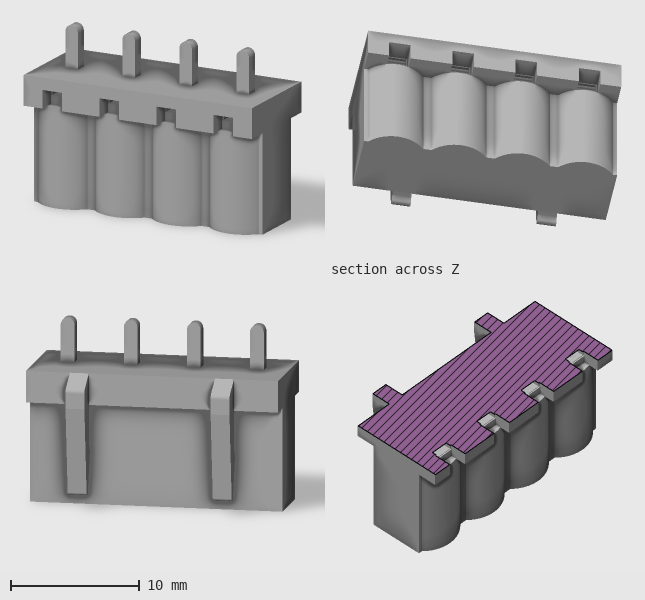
import cadquery as cq
import math


pole_count = 4
pitch = 5.0
length = pole_count * pitch
pole_centers = [(i + 0.5) * pitch for i in range(pole_count)]

flange_depth = 8.3
flange_height = 2.5

body_height = 8.2
body_front = 1.75
body_back_inset = 1.7
body_back = flange_depth - body_back_inset
rib_radius = 3.0
rib_half_width = 2.175
rib_front = body_front - (rib_radius - math.sqrt(rib_radius**2 - rib_half_width**2))

pin_width = 1.1
pin_thickness = 1.0
pin_height = 3.5
pin_center_y = 3.75

notch_width = 1.7
notch_top = -1.0
notch_depth = 1.4
recess_step = 0.1
recess_bottom = -1.8
recess_depth = notch_depth + recess_step
pocket_width = 1.5
pocket_margin = (notch_width - pocket_width) / 2
pocket_top = notch_top - pocket_margin
pocket_bottom = recess_bottom + pocket_margin / 2
pocket_lip_depth = 0.2
pocket_lip_height = 0.2
pocket_depth = 1.1

latch_width = 1.5
latch_end_inset = 3.5
latch_reach = 1.75
latch_shoulder_drop = 1.0
latch_shoulder_radius = 0.5
latch_wall_overlap = 0.05
latch_root_radius = 0.4
latch_root_length = 0.5
latch_tip_z = -9.5
latch_tip_outer = 0.87
latch_tip_inner = 0.43
latch_tip_radius = 0.2
hook_start_z = -5.65
hook_nose_z = -6.2
hook_overhang = 0.42
hook_nose_radius = 0.3


def box(x_center, width, y_min, y_max, z_min, z_max):
    """Axis-aligned block centred on x_center."""
    size = (width, y_max - y_min, z_max - z_min)
    corner = (x_center - width / 2, y_min, z_min)
    return cq.Workplane("XY").box(*size, centered=False).translate(corner)


def side_extrusion(points, x_center, width):
    """Closed (y, z) outline extruded along X and centred on x_center."""
    profile = cq.Workplane("YZ").polyline(points).close().extrude(width)
    return profile.translate((x_center - width / 2, 0, 0))


def make_body():
    """Body outline with a convex arc at each pole, extruded down from the flange."""
    outline = cq.Workplane("XY").workplane(offset=-flange_height).moveTo(0, body_back).lineTo(0, body_front)
    for x in pole_centers:
        outline = outline.lineTo(x - rib_half_width, body_front)
        outline = outline.threePointArc((x, rib_front), (x + rib_half_width, body_front))
    return outline.lineTo(length, body_front).lineTo(length, body_back).close().extrude(-body_height)


def make_pin(x):
    """Flat pin with a full-round top."""
    half_width = pin_width / 2
    shoulder_z = pin_height - half_width
    profile = (
        cq.Workplane("XZ")
        .moveTo(x - half_width, -flange_height)
        .lineTo(x - half_width, shoulder_z)
        .threePointArc((x, pin_height), (x + half_width, shoulder_z))
        .lineTo(x + half_width, -flange_height)
        .close()
    )
    return profile.extrude(pin_thickness).translate((0, pin_center_y + pin_thickness / 2, 0))


def make_notch(x):
    """Cutter for a flange notch, its recessed upper wall and the sloping pocket behind it."""
    notch = box(x, notch_width, 0, notch_depth, -flange_height, notch_top)
    recess = box(x, notch_width, 0, recess_depth, recess_bottom, notch_top)
    lip_y = recess_depth + pocket_lip_depth
    pocket = side_extrusion(
        [
            (notch_depth, pocket_top),
            (lip_y, pocket_top),
            (lip_y, pocket_top - pocket_lip_height),
            (recess_depth + pocket_depth, pocket_bottom),
            (notch_depth, pocket_bottom),
        ],
        x,
        pocket_width,
    )
    return notch.union(recess).union(pocket)


def round_edge(solid, y, z, radius):
    """Fillet the X-direction edge nearest to (y, z)."""
    x = solid.val().Center().x
    return solid.edges("|X").edges(cq.selectors.NearestToPointSelector((x, y, z))).fillet(radius)


def make_latch(x):
    """Tapered latch arm with a sloping shoulder, a rounded root and a hook nose."""
    back = flange_depth
    inner = back - latch_wall_overlap
    root_y = inner - latch_root_length
    shoulder = (back + latch_reach, -latch_shoulder_drop)
    nose = (back - hook_overhang, hook_nose_z)
    root = (inner, -flange_height)
    latch = side_extrusion(
        [
            (back, 0),
            shoulder,
            (back + latch_reach, -flange_height),
            (back + latch_tip_outer, latch_tip_z),
            (back + latch_tip_inner, latch_tip_z),
            nose,
            (inner, hook_start_z),
            root,
            (root_y, -flange_height),
            (root_y, 0),
        ],
        x,
        latch_width,
    )
    latch = round_edge(latch, *shoulder, latch_shoulder_radius)
    latch = round_edge(latch, *nose, hook_nose_radius)
    latch = round_edge(latch, *root, latch_root_radius)
    latch = round_edge(latch, back + latch_tip_outer, latch_tip_z, latch_tip_radius)
    return round_edge(latch, back + latch_tip_inner, latch_tip_z, latch_tip_radius)


result = box(length / 2, length, 0, flange_depth, -flange_height, 0).union(make_body())
for x in pole_centers:
    result = result.cut(make_notch(x)).union(make_pin(x))

latch_center = latch_end_inset + latch_width / 2
for x in (latch_center, length - latch_center):
    result = result.union(make_latch(x))